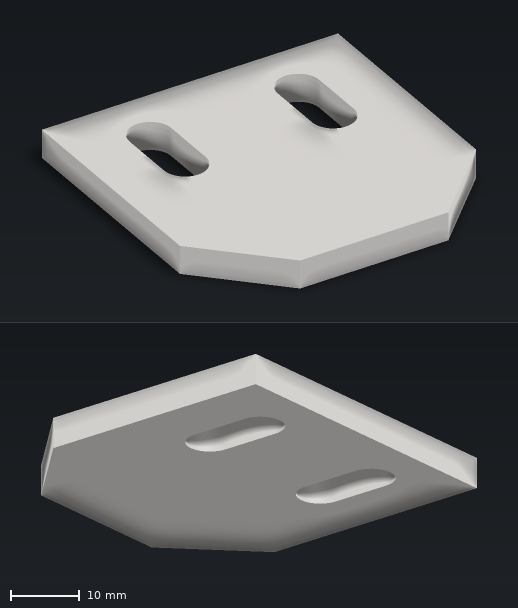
import cadquery as cq

plate_side = 50.8
plate_thickness = 4.78
corner_cut = plate_side / 4

slot_width = 7.14
slot_center_distance = 9.525
slot_end_offset = 9.525
slot_spacing = plate_side / 2

slot_length = slot_center_distance + slot_width
slot_center_x = -plate_side / 2 + slot_end_offset + slot_center_distance / 2


def make_plate():
    """Square plate with the two +X corners cut off at 45 degrees."""
    plate = cq.Workplane("XY").box(plate_side, plate_side, plate_thickness)
    return plate.edges("|Z and >X").chamfer(corner_cut)


def cut_slots(plate):
    """Cut two round-ended slots through the plate, symmetric about the X axis."""
    slot_centers = [(slot_center_x, side * slot_spacing / 2) for side in (-1, 1)]
    return (
        plate.faces(">Z")
        .workplane(origin=(0, 0, 0))
        .pushPoints(slot_centers)
        .slot2D(slot_length, slot_width)
        .cutThruAll()
    )


result = cut_slots(make_plate())